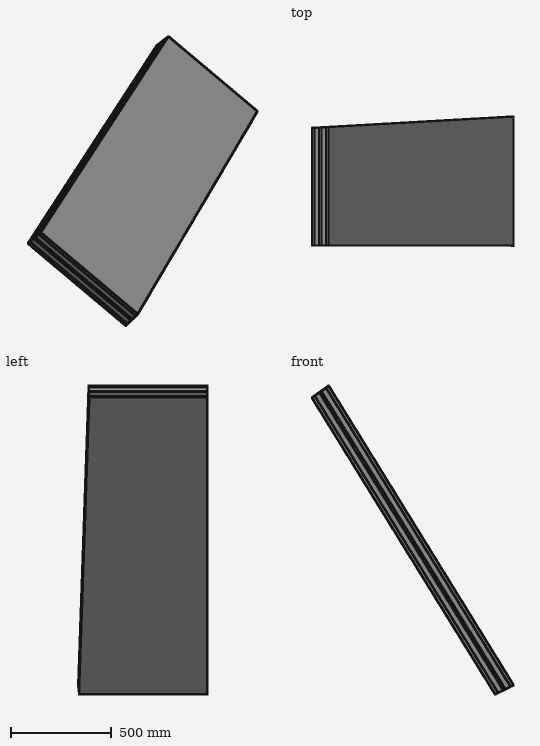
import cadquery as cq
import math

LENGTH_X = 1002.0
HEIGHT = 1533.0
DEPTH = 642.0
LEAN = 58.3
HEAD_DEPTH_LOSS = 57.0
FRONT_INSET = 0.8

LOWER_HEAD_Z = 1473.0
UPPER_FOOT_Z = 46.0

SKIN = 1.1
CORE = 1.8
MIDDLE = 0.8
THICKNESS = 2 * SKIN + 2 * CORE + MIDDLE

SLOPE = math.tan(math.radians(LEAN))
lower_head = (0.0, LOWER_HEAD_Z)
lower_foot = (LOWER_HEAD_Z / SLOPE, 0.0)
upper_head = (LENGTH_X - (HEIGHT - UPPER_FOOT_Z) / SLOPE, HEIGHT)
upper_foot = (LENGTH_X, UPPER_FOOT_Z)


def between(start, end, fraction):
    """Point at a fraction of the way from start to end."""
    return tuple(a + (b - a) * fraction for a, b in zip(start, end))


def make_plan():
    """Upright prism whose front and back sides spread apart towards the foot."""
    return (
        cq.Workplane("XY")
        .moveTo(0, FRONT_INSET)
        .lineTo(LENGTH_X, 0)
        .lineTo(LENGTH_X, DEPTH)
        .lineTo(0, DEPTH - HEAD_DEPTH_LOSS)
        .close()
        .extrude(HEIGHT)
    )


def make_layer(offset, thickness):
    """Sloping sheet that starts at an offset above the panel's lower face."""
    near = offset / THICKNESS
    far = (offset + thickness) / THICKNESS
    section = [
        between(lower_head, upper_head, near),
        between(lower_foot, upper_foot, near),
        between(lower_foot, upper_foot, far),
        between(lower_head, upper_head, far),
    ]
    sheet = cq.Workplane("XZ").polyline(section).close().extrude(-DEPTH)
    return sheet.intersect(make_plan())


def make_skin(offset):
    """Thin outer sheet."""
    return make_layer(offset, SKIN)


def make_core(offset):
    """Thick sheet between a skin and the middle sheet."""
    return make_layer(offset, CORE)


def make_middle_sheet():
    """Thin sheet separating the two cores."""
    return make_layer(SKIN + CORE, MIDDLE)


skins = [make_skin(offset) for offset in (0, THICKNESS - SKIN)]
cores = [make_core(offset) for offset in (SKIN, SKIN + CORE + MIDDLE)]
middle_sheet = make_middle_sheet()

bodies = [*skins, *cores, middle_sheet]
result = cq.Compound.makeCompound([body.val() for body in bodies])